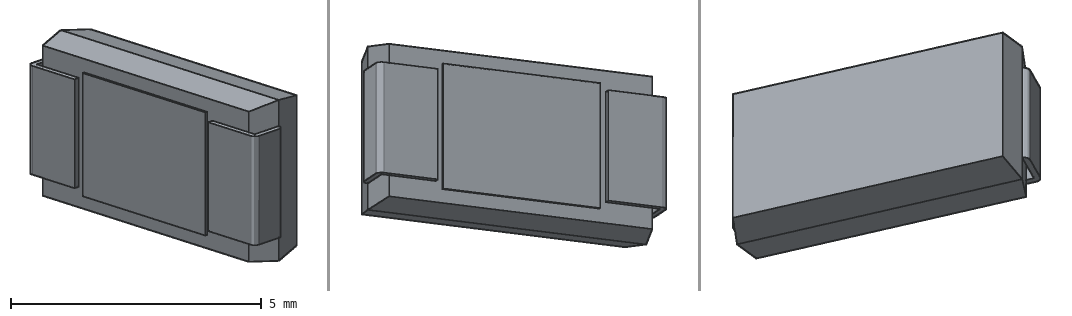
import cadquery as cq

overall_length = 6.3
overall_depth = 1.5
body_height = 3.4

lead_thickness = 0.125
lead_bend_radius = 0.12
foot_length = 1.3
lead_width = 2.3

body_length = overall_length - 2 * lead_thickness
body_depth = overall_depth - lead_thickness
half_depth = body_depth / 2
parting_y = lead_thickness + half_depth
end_inset = 0.165
side_inset = 0.115

pad_length = 3.4
pad_height = 2.6
pad_thickness = 0.05


def make_body_half(direction):
    """Loft from the parting plane to a smaller face, towards +Y (1) or -Y (-1)."""
    parting_plane = cq.Plane(
        origin=(0, parting_y, 0), xDir=(1, 0, 0), normal=(0, direction, 0)
    )
    return (
        cq.Workplane(parting_plane)
        .rect(body_length, body_height)
        .workplane(offset=half_depth)
        .rect(body_length - 2 * end_inset, body_height - 2 * side_inset)
        .loft(ruled=True)
    )


def make_body():
    """Join the two tapered halves at the parting plane."""
    return make_body_half(1).union(make_body_half(-1), clean=False)


def make_lead(side):
    """Make the lead at the -X (-1) or +X (1) end, reaching up to the parting plane."""
    outer_x = side * overall_length / 2
    inner_x = side * body_length / 2
    foot_end_x = side * (overall_length / 2 - foot_length)
    profile = (
        cq.Workplane("XY", origin=(0, 0, -lead_width / 2))
        .moveTo(foot_end_x, 0)
        .lineTo(outer_x, 0)
        .lineTo(outer_x, parting_y)
        .lineTo(inner_x, parting_y)
        .lineTo(inner_x, lead_thickness)
        .lineTo(foot_end_x, lead_thickness)
        .close()
    )
    outer_face = ">X" if side > 0 else "<X"
    return profile.extrude(lead_width).faces(outer_face).edges("|Z").fillet(lead_bend_radius)


def make_pad():
    """Make the thermal pad, lying against the mounting face of the body."""
    pad_centre_y = lead_thickness - pad_thickness / 2
    return cq.Workplane("XY", origin=(0, pad_centre_y, 0)).box(pad_length, pad_thickness, pad_height)


body = make_body()
leads = [make_lead(side) for side in (-1, 1)]
pad = make_pad()

result = cq.Compound.makeCompound([body.val(), *[lead.val() for lead in leads], pad.val()])